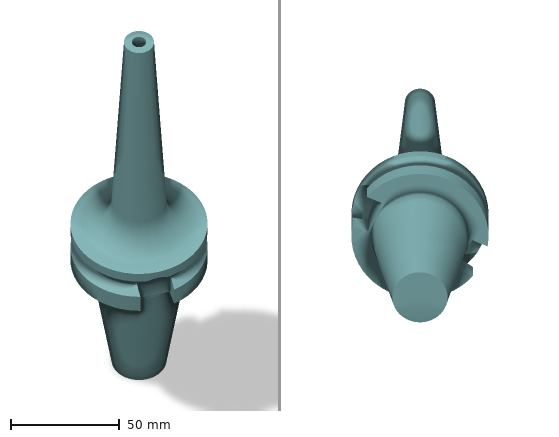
import cadquery as cq
import math

total_length = 215.5

shank_length = 65.5
shank_top_radius = 22.2
taper_ratio = 7 / 24
shank_bottom_radius = shank_top_radius - shank_length * taper_ratio / 2

flange_radius = 31.5
groove_radius = 26.5
flange_bottom = 67.5
groove_lower_rim = 77.0
groove_upper_rim = 87.2
flange_top = 92.5
bevel_angle = math.radians(30)
bevel_height = (flange_radius - groove_radius) * math.tan(bevel_angle)

nose_tip_radius = 7.0
nose_base_radius = 12.7
nose_base = 106.6
fillet_outer_radius = 27.5
nose_lean = math.atan2(nose_base_radius - nose_tip_radius, total_length - nose_base)
fillet_radius = (nose_base - flange_top) / (1 - math.sin(nose_lean))

bore_radius = 3.2
bore_depth = 43.0

slot_width = 16.2
slot_floor = 22.6
slot_top = 88.5


def revolved_body():
    """Shank, flange and nose turned about Z from one half profile."""
    middle_angle = math.pi / 4 + nose_lean / 2
    fillet_middle = (
        fillet_outer_radius - fillet_radius * math.cos(middle_angle),
        flange_top + fillet_radius * (1 - math.sin(middle_angle)),
    )
    profile = (
        cq.Workplane("XZ")
        .lineTo(shank_bottom_radius, 0)
        .lineTo(shank_top_radius, shank_length)
        .lineTo(shank_top_radius, flange_bottom)
        .lineTo(flange_radius, flange_bottom)
        .lineTo(flange_radius, groove_lower_rim)
        .lineTo(groove_radius, groove_lower_rim + bevel_height)
        .lineTo(groove_radius, groove_upper_rim - bevel_height)
        .lineTo(flange_radius, groove_upper_rim)
        .lineTo(flange_radius, flange_top)
        .lineTo(fillet_outer_radius, flange_top)
        .threePointArc(fillet_middle, (nose_base_radius, nose_base))
        .lineTo(nose_tip_radius, total_length)
        .lineTo(0, total_length)
        .close()
    )
    return profile.revolve(360, (0, 0, 0), (0, 1, 0))


def drive_slot():
    """Cutter for the drive slot on the +X side, open at the flange bottom."""
    half_width = slot_width / 2
    arch_start = slot_top - half_width
    return (
        cq.Workplane("YZ", origin=(slot_floor, 0, 0))
        .moveTo(-half_width, flange_bottom)
        .lineTo(half_width, flange_bottom)
        .lineTo(half_width, arch_start)
        .threePointArc((0, slot_top), (-half_width, arch_start))
        .close()
        .extrude(flange_radius)
    )


def tip_bore():
    """Cutter for the blind bore in the nose tip."""
    bore_floor = cq.Workplane("XY", origin=(0, 0, total_length - bore_depth))
    return bore_floor.circle(bore_radius).extrude(bore_depth)


result = revolved_body().cut(tip_bore())
for side_angle in (0, 180):
    result = result.cut(drive_slot().rotate((0, 0, 0), (0, 0, 1), side_angle))